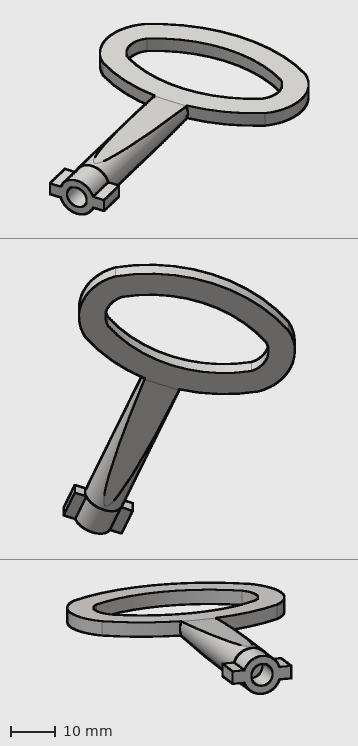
import cadquery as cq

total_length = 72.8

ring_thickness = 3.35
ring_wall = 5.9
ring_width = 50.0
ring_half_width = ring_width / 2
ring_half_height = 15.3
outer_corner = (20.75, 9.2)
inner_corner = (17.2, 4.4)
ring_center_y = total_length - ring_half_height

shaft_diameter = 8.95
shaft_end_y = ring_center_y - ring_half_height
flat_tip_y = 8.0

bit_length = 6.85
hub_diameter = 8.8
wing_span = 13.9
wing_thickness = 2.9
bore_diameter = 5.0
bore_depth = bit_length


def oval(half_width, half_height, corner):
    """Oval prism of ring thickness, made of two flat arcs and two tight end arcs."""
    x, y = corner
    return (
        cq.Workplane("XY")
        .moveTo(-x, y)
        .threePointArc((0, half_height), (x, y))
        .threePointArc((half_width, 0), (x, -y))
        .threePointArc((0, -half_height), (-x, -y))
        .threePointArc((-half_width, 0), (-x, y))
        .close()
        .extrude(ring_thickness / 2, both=True)
        .translate((0, ring_center_y, 0))
    )


def rod(diameter, start_y, end_y):
    """Cylinder along the Y axis."""
    return (
        cq.Workplane("XZ", origin=(0, start_y, 0))
        .circle(diameter / 2)
        .extrude(start_y - end_y)
    )


def make_ring():
    outer = oval(ring_half_width, ring_half_height, outer_corner)
    opening = oval(ring_half_width - ring_wall, ring_half_height - ring_wall, inner_corner)
    return outer.cut(opening)


def make_shaft():
    """Round bar kept inside a wedge that narrows to the ring thickness."""
    radius = shaft_diameter / 2
    end_half = ring_thickness / 2
    wedge = (
        cq.Workplane("YZ")
        .polyline([
            (bit_length, -radius),
            (flat_tip_y, -radius),
            (shaft_end_y, -end_half),
            (shaft_end_y, end_half),
            (flat_tip_y, radius),
            (bit_length, radius),
        ])
        .close()
        .extrude(shaft_diameter, both=True)
    )
    bar = rod(shaft_diameter, bit_length, shaft_end_y).intersect(wedge)
    root_length = ring_wall / 2
    root_width = 2 * (radius**2 - end_half**2) ** 0.5
    root = cq.Workplane("XY").box(root_width, root_length, ring_thickness)
    return bar.union(root.translate((0, shaft_end_y + root_length / 2, 0)))


def make_bit():
    wings = cq.Workplane("XY").box(wing_span, bit_length, wing_thickness)
    return rod(hub_diameter, 0, bit_length).union(wings.translate((0, bit_length / 2, 0)))


bore = rod(bore_diameter, 0, bore_depth)
result = make_ring().union(make_shaft()).union(make_bit()).cut(bore)